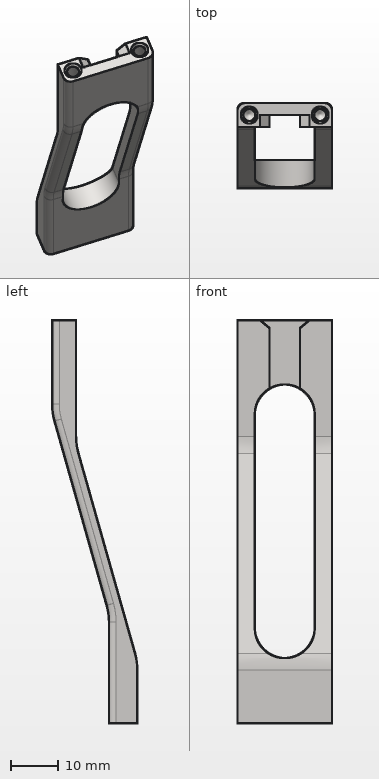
import cadquery as cq
import math

width = 20.0
depth = 18.0
height = 85.0

upper_thickness = 5.1
lower_thickness = 6.0
front_lower_bend_z = 13.0
front_upper_bend_z = 58.65
back_lower_bend_z = 23.1
bend_radius = 13.0
back_edge_radius = 1.5

window_width = 12.6
window_bottom = 13.8
window_top = 71.4

web_thickness = 2.55
groove_width = 6.4
flare_width = 2.0
flare_height = 1.7

hole_offset_x = 7.5
hole_inset = 2.55
hole_diameter = 2.55
hole_mouth_diameter = 3.6
hole_depth = 10.2
drill_point_angle = 118.0

upper_front_y = depth - upper_thickness
crank_slope = upper_front_y / (front_upper_bend_z - front_lower_bend_z)
back_upper_bend_z = back_lower_bend_z + (depth - lower_thickness) / crank_slope


def make_arm():
    """Extruded crank with rounded bends and rounded long back edges."""
    arm = (
        cq.Workplane("YZ")
        .moveTo(0, 0)
        .lineTo(lower_thickness, 0)
        .lineTo(lower_thickness, back_lower_bend_z)
        .lineTo(depth, back_upper_bend_z)
        .lineTo(depth, height)
        .lineTo(upper_front_y, height)
        .lineTo(upper_front_y, front_upper_bend_z)
        .lineTo(0, front_lower_bend_z)
        .close()
        .extrude(width / 2, both=True)
    )
    bends = (
        (0, front_lower_bend_z),
        (lower_thickness, back_lower_bend_z),
        (upper_front_y, front_upper_bend_z),
        (depth, back_upper_bend_z),
    )
    for y, z in bends:
        bend_edge = cq.selectors.NearestToPointSelector((0, y, z))
        arm = arm.edges("|X").edges(bend_edge).fillet(bend_radius)

    for side_x in (-width / 2, width / 2):
        lower_edge_point = (side_x, lower_thickness, back_lower_bend_z / 2)
        back_edge = cq.selectors.NearestToPointSelector(lower_edge_point)
        arm = arm.edges("|Z").edges(back_edge).fillet(back_edge_radius)
    return arm


def make_window():
    length = window_top - window_bottom
    return (
        cq.Workplane("XZ")
        .center(0, (window_top + window_bottom) / 2)
        .slot2D(length, window_width, 90)
        .extrude(-depth)
    )


def make_groove():
    half_groove = groove_width / 2
    half_mouth = half_groove + flare_width
    groove_bottom = window_top - window_width / 2
    return (
        cq.Workplane("XZ", origin=(0, upper_front_y, 0))
        .moveTo(-half_groove, groove_bottom)
        .lineTo(half_groove, groove_bottom)
        .lineTo(half_groove, height - flare_height)
        .lineTo(half_mouth, height)
        .lineTo(-half_mouth, height)
        .lineTo(-half_groove, height - flare_height)
        .close()
        .extrude(-(upper_thickness - web_thickness))
    )


def make_hole(x):
    """Drilled hole with a 45 degree mouth and a conical end."""
    radius = hole_diameter / 2
    mouth_radius = hole_mouth_diameter / 2
    mouth_depth = mouth_radius - radius
    point_length = radius / math.tan(math.radians(drill_point_angle / 2))
    return (
        cq.Workplane("XZ", origin=(x, depth - hole_inset, height))
        .moveTo(0, 0)
        .lineTo(mouth_radius, 0)
        .lineTo(radius, -mouth_depth)
        .lineTo(radius, -hole_depth)
        .lineTo(0, -hole_depth - point_length)
        .close()
        .revolve(360, (0, 0, 0), (0, 1, 0))
    )


result = make_arm().cut(make_window()).cut(make_groove())
for hole_x in (-hole_offset_x, hole_offset_x):
    result = result.cut(make_hole(hole_x))